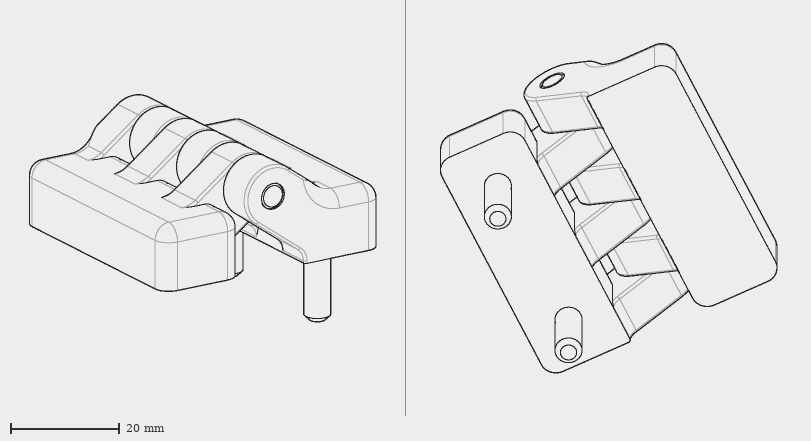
import cadquery as cq
import math


PLATE_HEIGHT = 12.5
PLATE_INNER_Y = 7.0
PLATE_OUTER_Y = 24.0
PLATE_FILLET = 3.0
ARM_END_X = 24.0
PLAIN_END_X = 24.1

AXIS_HEIGHT = 14.5
KNUCKLE_RADIUS = 6.0
ARM_SLOPE = math.radians(36)
ARM_COUNT = 3
ARM_WIDTH = 7.95
ARM_PITCH = 16.05
ARM_TOP_BLEND = 5.0
ARM_BOTTOM_BLEND = 3.0
ARM_EDGE_FILLET = 0.5

PIN_DIAMETER = 5.0
PIN_TIP_DIAMETER = 4.13
PIN_CHAMFER = (PIN_DIAMETER - PIN_TIP_DIAMETER) / 2

STUD_DIAMETER = 5.0
STUD_LENGTH = 15.0
STUD_SPACING = 30.0
STUD_CHAMFER = 1.0
STUD_Y = (PLATE_INNER_Y + PLATE_OUTER_Y) / 2

TANGENT_Y = KNUCKLE_RADIUS * math.sin(ARM_SLOPE)
TANGENT_RISE = KNUCKLE_RADIUS * math.cos(ARM_SLOPE)
ARM_TOP_RUN = (AXIS_HEIGHT + TANGENT_RISE - PLATE_HEIGHT) / math.tan(ARM_SLOPE)
ARM_FOOT_Y = TANGENT_Y + ARM_TOP_RUN + ARM_TOP_BLEND * math.tan(ARM_SLOPE / 2)
BLEND_CENTRE_Z = PLATE_HEIGHT + ARM_TOP_BLEND


def make_plate():
    """Block with rounded upright corners and a rounded top rim."""
    length = ARM_END_X + PLAIN_END_X
    depth = PLATE_OUTER_Y - PLATE_INNER_Y
    block = cq.Workplane("XY").box(length, depth, PLATE_HEIGHT, centered=False)
    block = block.edges("|Z").fillet(PLATE_FILLET)
    block = block.faces(">Z").edges().fillet(PLATE_FILLET)
    return block.translate((-ARM_END_X, -PLATE_OUTER_Y, 0))


def arc_point(centre, radius, angle):
    """Point on a circle; the angle is measured from +Y towards +Z."""
    return (centre[0] + radius * math.cos(angle), centre[1] + radius * math.sin(angle))


def make_arm(start_x):
    """Sloping arm with a round knuckle on the hinge axis and its root inside the plate."""
    axis = (0, AXIS_HEIGHT)
    up = math.pi / 2
    top_tangent = arc_point(axis, KNUCKLE_RADIUS, up + ARM_SLOPE)
    knuckle_mid = arc_point(axis, KNUCKLE_RADIUS, 0)
    bottom_tangent = arc_point(axis, KNUCKLE_RADIUS, -up + ARM_SLOPE)

    lower_centre_y = -PLATE_INNER_Y + ARM_BOTTOM_BLEND
    underside_drop = (lower_centre_y - bottom_tangent[0]) * math.tan(ARM_SLOPE)
    lower_centre_z = bottom_tangent[1] + underside_drop - ARM_BOTTOM_BLEND / math.cos(ARM_SLOPE)
    lower_centre = (lower_centre_y, lower_centre_z)
    lower_start = arc_point(lower_centre, ARM_BOTTOM_BLEND, up + ARM_SLOPE)
    lower_mid = arc_point(lower_centre, ARM_BOTTOM_BLEND, (up + ARM_SLOPE + math.pi) / 2)

    upper_centre = (-ARM_FOOT_Y, BLEND_CENTRE_Z)
    upper_mid = arc_point(upper_centre, ARM_TOP_BLEND, -up + ARM_SLOPE / 2)
    upper_end = arc_point(upper_centre, ARM_TOP_BLEND, -up + ARM_SLOPE)

    outline = (
        cq.Workplane("YZ", origin=(start_x, 0, 0))
        .moveTo(-ARM_FOOT_Y, 0)
        .lineTo(-ARM_FOOT_Y, PLATE_HEIGHT)
        .threePointArc(upper_mid, upper_end)
        .lineTo(*top_tangent)
        .threePointArc(knuckle_mid, bottom_tangent)
        .lineTo(*lower_start)
        .threePointArc(lower_mid, (-PLATE_INNER_Y, lower_centre_z))
        .lineTo(-PLATE_INNER_Y, 0)
        .close()
    )
    arm = outline.extrude(ARM_WIDTH)
    return arm.faces("<X or >X").edges("not(|Y or <Y)").fillet(ARM_EDGE_FILLET)


def make_end_rounding_cutter():
    """Sweep of the plate's rim rounding around the blend above the end arm's foot."""
    rim_z = PLATE_HEIGHT - PLATE_FILLET
    inner_x = -ARM_END_X + PLATE_FILLET
    arc_mid = arc_point((inner_x, rim_z), PLATE_FILLET, math.radians(135))
    section = (
        cq.Workplane("XZ", origin=(0, -ARM_FOOT_Y, 0))
        .moveTo(-ARM_END_X, rim_z)
        .threePointArc(arc_mid, (inner_x, PLATE_HEIGHT))
        .lineTo(inner_x, BLEND_CENTRE_Z)
        .lineTo(-ARM_END_X, BLEND_CENTRE_Z)
        .close()
    )
    return section.revolve(90, (0, BLEND_CENTRE_Z), (1, BLEND_CENTRE_Z))


def make_leaf():
    """Front leaf: plate and arms, with the rim rounding carried up the end arm."""
    leaf = make_plate()
    for index in range(ARM_COUNT):
        leaf = leaf.union(make_arm(-ARM_END_X + index * ARM_PITCH))
    leaf = leaf.cut(make_end_rounding_cutter())
    bore_start = (-PLAIN_END_X, 0, AXIS_HEIGHT)
    bore = cq.Workplane("YZ", origin=bore_start).circle(PIN_DIAMETER / 2).extrude(2 * PLAIN_END_X)
    return leaf.cut(bore)


def make_pin():
    """Hinge pin with chamfered ends, flush with the outer arms."""
    pin = cq.Workplane("YZ", origin=(-ARM_END_X, 0, AXIS_HEIGHT)).circle(PIN_DIAMETER / 2)
    return pin.extrude(2 * ARM_END_X).edges().chamfer(PIN_CHAMFER)


def make_stud(x):
    """Fixing stud hanging from the underside of the back leaf."""
    stud = cq.Workplane("XY", origin=(x, STUD_Y, 0)).circle(STUD_DIAMETER / 2).extrude(-STUD_LENGTH)
    return stud.faces("<Z").edges().chamfer(STUD_CHAMFER)


front_leaf = make_leaf()
back_leaf = front_leaf.rotate((0, 0, 0), (0, 0, 1), 180)
result = front_leaf.union(back_leaf).union(make_pin())
for side in (-1, 1):
    result = result.union(make_stud(side * STUD_SPACING / 2))